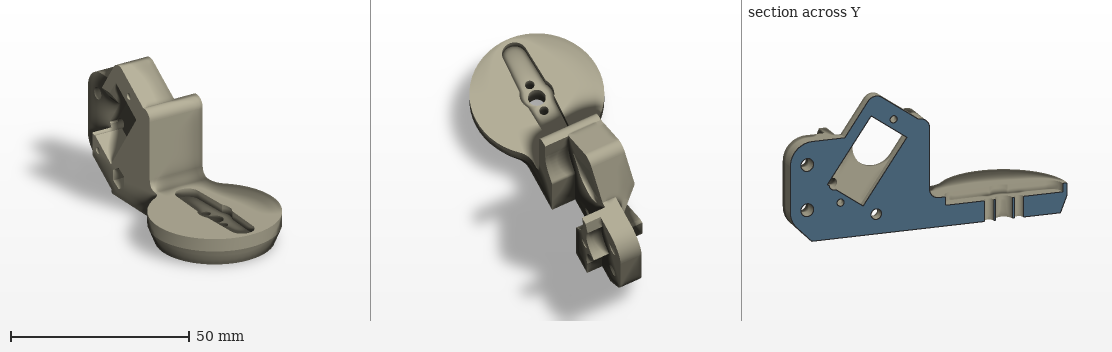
import cadquery as cq
import math

front_y = -7.3
flange_front_y = -0.9
plate_back_y = 3.2
flange_back_y = 5.7
back_y = 10.4
pocket_floor_y = 1.7

disc_radius = 19.0
overall_length = 83.2
disc_x = overall_length - disc_radius
disc_height = 8.7
taper_height = 4.9
taper_inset = 2.0
neck_front_radius = 3.3
neck_front_foot_radius = 4.2
neck_back_radius = 6.25
neck_start_x = 37.45

horn_depth = 2.5
horn_half_length = 17.6
horn_tip_radius = 3.6
horn_mid_half_width = 4.25
horn_hub_radius = 4.9
axle_hole_radius = 2.5
horn_screw_radius = 1.3
horn_screw_offset = 4.5

tilt = math.radians(35)
plate_center = (23.1, 21.9)
pocket_width = 13.0
pocket_length = 22.8
side_wall = 3.4
end_wall = 6.2
plate_left_x = 12.2
plate_round = 3.0
motor_screw_radius = 1.0
motor_screw_offset = 13.9
wall_cut_width = 2 * side_wall
wall_cut_low_z = 23.7
wall_cut_high_z = 30.6

post_right_x = 41.95
post_top_z = 32.55
post_round = 3.0
post_fillet = 2.7
arm_left_x = 20.15
arm_round = 3.0

bore_along = 4.8
clearance_x = 26.1
clearance_radius = 11.9
channel_half_width = 7.6
channel_round = 1.5

nut_center = (25.9, 5.9)
nut_across_corners = 6.5
nut_depth = 5.0
bolt_radius = 1.5
wire_hole_center = (13.3, 16.0)

flange_top_z = 29.55
flange_round = 6.75
flange_chamfer = 6.5
mount_x = 5.2
mount_zs = (9.4, 22.7)
mount_hole_radius = 1.8
mount_clearance_radius = 7.0
rib_top_x = 12.65
rib_shoulder_z = 26.1
rib_foot_z = 6.25
rib_foot_chamfer_height = 0.9
rib_foot_chamfer_depth = 0.25


def workplane_xz(y_back):
    return cq.Workplane("XZ", origin=(0, y_back, 0))


def prism(points, y_front, y_back):
    """Extrude an XZ polygon between two Y positions."""
    return workplane_xz(y_back).polyline(points).close().extrude(y_back - y_front)


def rod(center, radius, y_front, y_back):
    """Cylinder along Y."""
    return workplane_xz(y_back).center(*center).circle(radius).extrude(y_back - y_front)


def round_corner(solid, corner, y_front, y_back, radius):
    """Fillet the Y-parallel edge that passes nearest to an XZ point."""
    middle = (corner[0], (y_front + y_back) / 2, corner[1])
    nearest = cq.selectors.NearestToPointSelector(middle)
    return solid.edges("|Y").edges(nearest).fillet(radius)


def block(x_range, y_range, z_range):
    size = [b - a for a, b in (x_range, y_range, z_range)]
    corner = (x_range[0], y_range[0], z_range[0])
    return cq.Workplane("XY").box(*size, centered=False).translate(corner)


def tilted(across, along):
    """XZ point of the motor plate, measured across and along its tilted axis."""
    return (
        plate_center[0] + across * math.cos(tilt) + along * math.sin(tilt),
        plate_center[1] - across * math.sin(tilt) + along * math.cos(tilt),
    )


def neck_outline(workplane, radius, front_radius):
    """Disc outline blended into the straight arm sides by two concave arcs."""

    def blend(side_y, blend_radius):
        sign = math.copysign(1, side_y)
        center_y = side_y + sign * blend_radius
        center_x = disc_x - math.sqrt((radius + blend_radius) ** 2 - center_y**2)
        angle = math.atan2(center_y, center_x - disc_x)
        on_disc = (disc_x + radius * math.cos(angle), radius * math.sin(angle))
        on_arm = (center_x, side_y)
        to_disc = math.atan2(on_disc[1] - center_y, on_disc[0] - center_x)
        middle_angle = (to_disc - sign * math.pi / 2) / 2
        middle = (
            center_x + blend_radius * math.cos(middle_angle),
            center_y + blend_radius * math.sin(middle_angle),
        )
        return on_arm, middle, on_disc

    front_arm, front_middle, front_disc = blend(front_y, front_radius)
    back_arm, back_middle, back_disc = blend(back_y, neck_back_radius)
    return (
        workplane.moveTo(neck_start_x, front_y)
        .lineTo(*front_arm)
        .threePointArc(front_middle, front_disc)
        .threePointArc((disc_x + radius, 0), back_disc)
        .threePointArc(back_middle, back_arm)
        .lineTo(neck_start_x, back_y)
        .close()
    )


def make_disc():
    bottom = cq.Workplane("XY")
    rim_base = cq.Workplane("XY", origin=(0, 0, taper_height))
    rim = neck_outline(rim_base, disc_radius, neck_front_radius).extrude(disc_height - taper_height)
    taper = neck_outline(bottom, disc_radius - taper_inset, neck_front_foot_radius)
    taper = neck_outline(taper.workplane(offset=taper_height), disc_radius, neck_front_radius)
    taper = taper.loft(ruled=True)
    return rim.union(taper)


def make_horn_cut():
    floor = cq.Workplane("XY", origin=(disc_x, 0, disc_height - horn_depth))
    tip_x = horn_half_length - horn_tip_radius
    arms = (
        floor.moveTo(-tip_x, horn_tip_radius)
        .lineTo(0, horn_mid_half_width)
        .lineTo(tip_x, horn_tip_radius)
        .threePointArc((horn_half_length, 0), (tip_x, -horn_tip_radius))
        .lineTo(0, -horn_mid_half_width)
        .lineTo(-tip_x, -horn_tip_radius)
        .threePointArc((-horn_half_length, 0), (-tip_x, horn_tip_radius))
        .close()
        .extrude(horn_depth)
    )
    hub = floor.circle(horn_hub_radius).extrude(horn_depth)
    base = cq.Workplane("XY", origin=(disc_x, 0, 0))
    axle = base.circle(axle_hole_radius).extrude(disc_height)
    screws = base.pushPoints([(-horn_screw_offset, 0), (horn_screw_offset, 0)])
    screws = screws.circle(horn_screw_radius).extrude(disc_height)
    return arms.union(hub).union(axle).union(screws)


def make_motor_plate():
    left = -pocket_width / 2 - side_wall
    half_length = pocket_length / 2 + end_wall
    top_corner = tilted(left, half_length)
    bottom_left = tilted(left, -half_length)
    slope = math.tan(tilt)
    lower_z = bottom_left[1] - (plate_left_x - bottom_left[0]) * slope
    upper_z = top_corner[1] - (top_corner[0] - plate_left_x) / slope
    post_x = top_corner[0] + (top_corner[1] - post_top_z) / slope
    outline = [
        (plate_left_x + lower_z / slope, 0),
        (plate_left_x, lower_z),
        (plate_left_x, upper_z),
        top_corner,
        (post_x, post_top_z),
        (post_right_x - post_round, post_top_z),
        (post_right_x - post_round, 0),
    ]
    plate = prism(outline, front_y, plate_back_y)
    return round_corner(plate, top_corner, front_y, plate_back_y, plate_round)


def make_arm():
    base = block((arm_left_x, post_right_x), (front_y, plate_back_y), (0, disc_height))
    base = base.edges("|Z and <X and <Y").fillet(arm_round)
    fillet_end_x = post_right_x + post_fillet
    post = (
        workplane_xz(back_y)
        .moveTo(clearance_x, 0)
        .lineTo(clearance_x, post_top_z)
        .lineTo(post_right_x - post_round, post_top_z)
        .radiusArc((post_right_x, post_top_z - post_round), post_round)
        .lineTo(post_right_x, disc_height + post_fillet)
        .radiusArc((fillet_end_x, disc_height), -post_fillet)
        .lineTo(fillet_end_x, 0)
        .close()
        .extrude(back_y - front_y)
    )
    return base.union(post)


def make_flange():
    plate = block((0, clearance_x), (flange_front_y, flange_back_y), (0, flange_top_z))
    plate = plate.edges("|Y and <X and >Z").fillet(flange_round)
    plate = plate.edges("|Y and <X and <Z").chamfer(flange_chamfer)
    chamfer_top = (0, flange_chamfer)
    return round_corner(plate, chamfer_top, flange_front_y, flange_back_y, flange_round)


def make_rib():
    """Raised pad behind the flange, scalloped around the two mounting screws."""

    def scallop_x(z, screw_z):
        return mount_x + math.sqrt(mount_clearance_radius**2 - (z - screw_z) ** 2)

    scallop_end_x = scallop_x(rib_foot_z, mount_zs[0])
    foot_x = scallop_end_x + rib_foot_chamfer_depth
    shoulder_x = scallop_x(rib_shoulder_z, mount_zs[1])
    outline = [
        (foot_x, 0),
        (foot_x, rib_foot_z - rib_foot_chamfer_height),
        (scallop_end_x, rib_foot_z),
        (mount_x, rib_foot_z),
        (mount_x, rib_shoulder_z),
        (shoulder_x, rib_shoulder_z),
        (rib_top_x, flange_top_z),
        (clearance_x, flange_top_z),
        (clearance_x, 0),
    ]
    rib = prism(outline, flange_back_y, back_y)
    for z in mount_zs:
        rib = rib.cut(rod((mount_x, z), mount_clearance_radius, flange_back_y, back_y))
    return rib


def make_motor_clearance():
    """Keyhole space behind the plate: round motor body, open above and below."""
    bore_z = tilted(0, bore_along)[1]
    body = rod((clearance_x, bore_z), clearance_radius, plate_back_y, back_y)
    upper = block(
        (clearance_x, clearance_x + clearance_radius),
        (plate_back_y, back_y),
        (bore_z, post_top_z),
    )
    channel = block(
        (clearance_x - channel_half_width, clearance_x + channel_half_width),
        (plate_back_y, back_y),
        (0, bore_z),
    )
    space = body.union(upper).union(channel)
    corner_z = bore_z - math.sqrt(clearance_radius**2 - channel_half_width**2)
    for side in (-1, 1):
        corner = (clearance_x + side * channel_half_width, corner_z)
        space = round_corner(space, corner, plate_back_y, back_y, channel_round)
    return space


def tilted_block(across_range, along_range, y_front, y_back):
    """Box aligned with the tilted motor plate."""
    across_low, across_high = across_range
    along_low, along_high = along_range
    corners = [
        tilted(across_low, along_low),
        tilted(across_high, along_low),
        tilted(across_high, along_high),
        tilted(across_low, along_high),
    ]
    return prism(corners, y_front, y_back)


def make_pocket():
    """Tilted pocket whose upper part breaks through as a slot with a round lower end."""
    half_width = pocket_width / 2
    half_length = pocket_length / 2
    width_range = (-half_width, half_width)
    recess = tilted_block(width_range, (-half_length, half_length), front_y, pocket_floor_y)
    slot = tilted_block(width_range, (bore_along, half_length), pocket_floor_y, plate_back_y)
    slot_end = rod(tilted(0, bore_along), half_width, pocket_floor_y, plate_back_y)
    return recess.union(slot).union(slot_end)


def make_wall_cut():
    """Opens the left pocket wall below a plane that rises toward the front."""
    inner = -pocket_width / 2
    outer = inner - wall_cut_width
    half_length = pocket_length / 2
    wall = tilted_block((outer, inner), (-half_length, half_length), front_y, flange_front_y)
    wedge = (
        cq.Workplane("YZ")
        .polyline([
            (flange_front_y, 0),
            (flange_front_y, wall_cut_low_z),
            (front_y, wall_cut_high_z),
            (front_y, 0),
        ])
        .close()
        .extrude(post_right_x)
    )
    return wall.intersect(wedge)


def make_holes():
    holes = rod(nut_center, bolt_radius, front_y, plate_back_y)
    nut = workplane_xz(front_y + nut_depth).center(*nut_center).transformed(rotate=(0, 0, 90))
    holes = holes.union(nut.polygon(6, nut_across_corners).extrude(nut_depth))
    holes = holes.union(rod(wire_hole_center, bolt_radius, front_y, back_y))
    for z in mount_zs:
        holes = holes.union(rod((mount_x, z), mount_hole_radius, flange_front_y, flange_back_y))
    for along in (-motor_screw_offset, motor_screw_offset):
        holes = holes.union(rod(tilted(0, along), motor_screw_radius, front_y, pocket_floor_y))
    return holes


body = make_motor_plate().union(make_arm()).union(make_disc())
body = body.union(make_flange()).union(make_rib())
for cutter in (make_motor_clearance(), make_pocket(), make_wall_cut(), make_holes(), make_horn_cut()):
    body = body.cut(cutter)
result = body